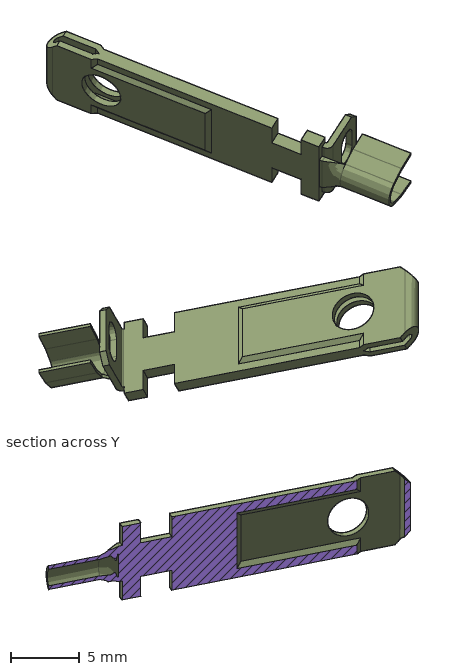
import cadquery as cq
import math

sheet = 0.5
width = 6.35
nose_chamfer = 1.13
blade_end = 22.45

rise = 0.25
ramp = 0.4
head_end = 3.95
pad_end = 13.27
pad_half_width = 2.15
hole_diameter = 3.18
hole_x = 4.75

waist_start = 18.6
waist_end = 21.0
waist_width = 2.93

tab_start = 22.6
tab_width = 5.18
tab_tip = 4.23
tab_chamfer = 0.75
outer_bend = 0.5
inner_bend = 0.08
slot_width = 1.65
slot_length = 3.18
slot_y = 2.7

barrel_start = 24.2
barrel_end = 28.17
barrel_wall = 0.25
arc_end = (0.3, 1.25)
side_bend = (1.52, 1.63)
arm_tip = (3.05, 1.75)
neck_start = 22.68
neck_width = 3.1
neck_step = 0.08

outer_level = sheet + rise
slope_shift = sheet * math.tan(math.atan2(rise, ramp) / 2)


def centred_box(x_start, x_end, y_start, y_end, z_width):
    """Box between two X and two Y positions, centred on z = 0."""
    box = cq.Workplane("XY").box(x_end - x_start, y_end - y_start, z_width, centered=(False, False, True))
    return box.translate((x_start, y_start, 0))


def raised_form(level, inset):
    """Rounded head plus pad reaching y = +-level, with slopes running down to y = 0."""
    slope_run = level * ramp / rise
    head_x = head_end - inset
    head = (
        cq.Workplane("XY")
        .moveTo(outer_level, -level)
        .threePointArc((outer_level - level, 0), (outer_level, level))
        .lineTo(head_x, level)
        .lineTo(head_x + slope_run, 0)
        .lineTo(head_x, -level)
        .close()
        .extrude(width / 2, both=True)
    )

    pad_x = pad_end - inset
    half_width = pad_half_width - inset
    half_pad = cq.Workplane("XZ")
    for depth, spread in ((0, slope_run), (level, 0)):
        x_end = pad_x + spread
        half_pad = (
            half_pad.workplane(offset=depth)
            .center((outer_level + x_end) / 2, 0)
            .rect(x_end - outer_level, 2 * (half_width + spread))
            .center(-(outer_level + x_end) / 2, 0)
        )
    half_pad = half_pad.loft(ruled=True)
    return head.union(half_pad).union(half_pad.mirror("XZ"))


def make_blade():
    """Folded double-layer blade with hollow pad, waist and cross bar."""
    outline = (
        centred_box(0, blade_end, -outer_level, outer_level, width)
        .edges("<X and |Y")
        .chamfer(nose_chamfer)
    )
    plate = centred_box(head_end, blade_end, -sheet, sheet, width)
    blade = plate.union(raised_form(outer_level, 0)).intersect(outline)
    blade = blade.cut(raised_form(rise, slope_shift))

    hole = cq.Workplane("XZ").center(hole_x, 0).circle(hole_diameter / 2).extrude(outer_level, both=True)
    waist_gap = centred_box(waist_start, waist_end, -sheet, sheet, width)
    waist = centred_box(waist_start, waist_end, -sheet, sheet, waist_width)
    return blade.cut(hole).cut(waist_gap.cut(waist))


def make_tab():
    """Rear layer bent up into a tab with an elongated hole."""
    tab_back = tab_start + sheet
    tab = (
        cq.Workplane("XY")
        .moveTo(blade_end, 0)
        .lineTo(tab_back - outer_bend, 0)
        .radiusArc((tab_back, outer_bend), -outer_bend)
        .lineTo(tab_back, tab_tip)
        .lineTo(tab_start, tab_tip)
        .lineTo(tab_start, sheet + inner_bend)
        .radiusArc((tab_start - inner_bend, sheet), inner_bend)
        .lineTo(blade_end, sheet)
        .close()
        .extrude(tab_width / 2, both=True)
        .edges(">Y and |X")
        .chamfer(tab_chamfer)
    )
    slot = (
        cq.Workplane("YZ", origin=(tab_start, slot_y, 0))
        .slot2D(slot_length, slot_width, 90)
        .extrude(sheet)
    )
    return tab.cut(slot)


def inner_arc_end():
    """(y, z) point inside the wall, square to the end of the round bottom."""
    y_end, z_end = arc_end
    height = y_end + sheet
    radius = (z_end**2 + height**2) / (2 * height)
    scale = (radius - barrel_wall) / radius
    centre_y = radius - sheet
    return centre_y + (y_end - centre_y) * scale, z_end * scale


def make_barrel():
    """Open U-shaped barrel: round bottom and two bent sides."""
    arc_y, arc_z = arc_end
    inner_y, inner_z = inner_arc_end()
    bend_y, bend_z = side_bend
    tip_y, tip_z = arm_tip
    return (
        cq.Workplane("YZ", origin=(barrel_start, 0, 0))
        .moveTo(arc_y, -arc_z)
        .threePointArc((-sheet, 0), (arc_y, arc_z))
        .lineTo(bend_y, bend_z)
        .lineTo(tip_y, tip_z)
        .lineTo(tip_y, tip_z - barrel_wall)
        .lineTo(bend_y, bend_z - barrel_wall)
        .lineTo(inner_y, inner_z)
        .threePointArc((barrel_wall - sheet, 0), (inner_y, -inner_z))
        .lineTo(bend_y, barrel_wall - bend_z)
        .lineTo(tip_y, barrel_wall - tip_z)
        .lineTo(tip_y, -tip_z)
        .lineTo(bend_y, -bend_z)
        .close()
        .extrude(barrel_end - barrel_start)
    )


def make_neck():
    """Front layer running on from the cross bar and curling into the barrel bottom."""
    neck_front = neck_step - sheet
    flat = centred_box(blade_end, neck_start, neck_front, 0, neck_width)
    arc_y, arc_z = arc_end
    inner_y, inner_z = inner_arc_end()
    half_width = neck_width / 2
    curl = (
        cq.Workplane("YZ", origin=(neck_start, 0, 0))
        .moveTo(neck_front, -half_width)
        .lineTo(neck_front, half_width)
        .lineTo(0, half_width)
        .lineTo(0, -half_width)
        .close()
        .workplane(offset=barrel_start - neck_start)
        .moveTo(arc_y, -arc_z)
        .threePointArc((-sheet, 0), (arc_y, arc_z))
        .lineTo(inner_y, inner_z)
        .threePointArc((barrel_wall - sheet, 0), (inner_y, -inner_z))
        .close()
        .loft(ruled=True)
    )
    return flat.union(curl)


result = make_blade().union(make_tab()).union(make_neck()).union(make_barrel())